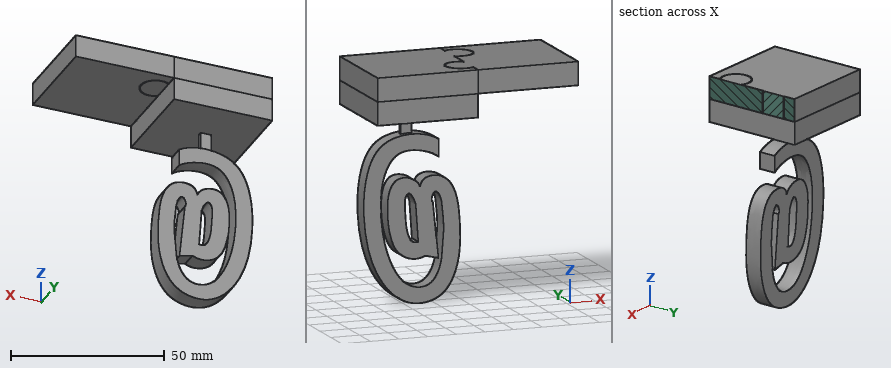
import cadquery as cq


plate_side = 35.0
plate_thickness = 8.0
left_x = 0.0
right_x = left_x + plate_side
joint_x = left_x + plate_side / 2
tile_bottom = plate_thickness

knob_radius = 5.0
socket_clearance = 0.2
knob_offset = 2.8
knob_y = plate_side / 4

hanger_width = 3.75
hanger_depth = 1.5
hanger_x = -1.2
hanger_rough_length = 9.6

pendant_depth = 6.0


def plate(center_x, bottom):
    """Square plate centred on Y = 0."""
    return (
        cq.Workplane("XY", origin=(center_x, 0, bottom))
        .rect(plate_side, plate_side)
        .extrude(plate_thickness)
    )


def tile_disc(side, radius):
    """Full-thickness disc at a jigsaw knob; side +1 points into the right tile, -1 into the left."""
    center = (joint_x + side * knob_offset, side * knob_y)
    return (
        cq.Workplane("XY", origin=(0, 0, tile_bottom))
        .center(*center)
        .circle(radius)
        .extrude(plate_thickness)
    )


def jigsaw_tile(center_x, knob_side):
    """Upper plate with one knob pointing to knob_side and one socket for the other tile's knob."""
    socket = tile_disc(-knob_side, knob_radius + socket_clearance)
    knob = tile_disc(knob_side, knob_radius)
    return plate(center_x, tile_bottom).cut(socket).union(knob).solids()


def pendant_outline():
    """Outer edge of the "@" in (x, z): ring outside, bowl outside, foot, leg, then ring inside."""
    tip_top = (9.35, -9.5)
    ring_outside = [
        (-2.4, -7.3), (-10.55, -10.3), (-16.3, -22.7), (-16.8, -33.6), (-14.55, -47.2), (-9.0, -57.8),
        (-0.95, -63.5), (10.2, -61.6), (15.8, -51.9), (16.8, -39.8), (9.3, -21.7), (4.15, -22.5),
    ]
    notch = (2.8, -24.9)
    bowl_outside = [
        (-0.15, -22.1), (-5.6, -22.3), (-7.75, -25.4), (-8.55, -31.1), (-7.4, -41.2),
        (-4.4, -46.85), (0.95, -49.0),
    ]
    foot_inner = (4.55, -48.2)
    foot_outer = (9.2, -49.3)
    leg_top = (7.3, -30.4)
    ring_inside = [
        (7.35, -27.8), (8.15, -27.0), (9.7, -28.55), (10.5, -32.0), (11.0, -39.3), (10.8, -43.6),
        (9.5, -52.7), (5.4, -58.0), (0.55, -58.2), (-7.5, -49.2), (-9.9, -41.0), (-10.9, -28.9),
        (-9.9, -21.5), (-4.95, -13.7), (2.9, -12.9),
    ]
    tip_bottom = (9.35, -15.4)
    return (
        cq.Workplane("XZ", origin=(0, pendant_depth / 2, 0))
        .moveTo(*tip_top)
        .spline([*ring_outside, notch], includeCurrent=True)
        .spline([*bowl_outside, foot_inner], includeCurrent=True)
        .lineTo(*foot_outer)
        .lineTo(*leg_top)
        .spline([*ring_inside, tip_bottom], includeCurrent=True)
        .close()
    )


def counter_outline():
    """Closed opening inside the bowl of the "@", with one straight side along the leg."""
    leg_bottom = (2.15, -43.3)
    leg_top = (1.3, -30.9)
    bowl_inside = [
        (0.55, -28.9), (-1.3, -27.0), (-2.1, -27.9), (-2.5, -29.9), (-2.2, -35.0), (-1.4, -40.4),
        (0.55, -43.3),
    ]
    return (
        cq.Workplane("XZ", origin=(0, pendant_depth / 2, 0))
        .moveTo(*leg_bottom)
        .lineTo(*leg_top)
        .spline([*bowl_inside, leg_bottom], includeCurrent=True)
        .close()
    )


def make_pendant():
    """Slab in the shape of an "@", standing upright and centred on Y = 0."""
    slab = pendant_outline().extrude(pendant_depth)
    counter = counter_outline().extrude(pendant_depth)
    return slab.cut(counter).solids()


def make_hanger(pendant):
    """Flat strip from the lower plate down to the pendant, its foot shaped to the ring it stands on."""
    strip = (
        cq.Workplane("XY", origin=(hanger_x, 0, 0))
        .rect(hanger_width, hanger_depth)
        .extrude(-hanger_rough_length)
    )
    return strip.cut(pendant).solids()


left_tile = jigsaw_tile(left_x, 1)
right_tile = jigsaw_tile(right_x, -1)
lower_plate = plate(left_x, 0)
pendant = make_pendant()
hanger = make_hanger(pendant)

result = cq.Compound.makeCompound(
    [left_tile.val(), right_tile.val(), lower_plate.val(), hanger.val(), pendant.val()]
)